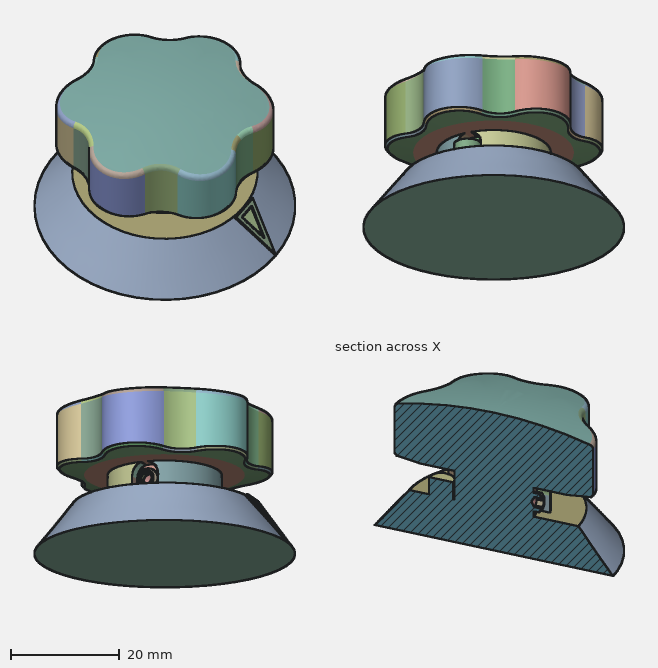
import cadquery as cq
import math

OVERSHOOT = 0.5

BASE_RADIUS = 24.0
BASE_TOP_RADIUS = 17.03
BASE_HEIGHT = 8.95

NECK_RADIUS = 10.5
CORE_RADIUS = 8.0
WINDOW_WIDTH = 5.1
WINDOW_ARCH_Z = 12.45

KNOB_BOTTOM_Z = 14.9
KNOB_TOP_Z = 29.0
KNOB_RADIUS = 20.0
LOBE_COUNT = 6
LOBE_RADIUS = 7.0
HOLLOW_RADIUS = 6.0
DOME_RADIUS = 77.7
FLAT_BOTTOM_RADIUS = 14.75
RIM_BOTTOM_Z = 15.6
TOP_FILLET = 1.0
BOTTOM_CHAMFER = 0.5

STOP_PIN_DIAMETER = 5.0
STOP_PIN_Y = 10.6
STOP_PIN_TOP_Z = 12.55

SCREW_Z = 12.0
SCREW_DIAMETER = 4.0
SCREW_TIP_DIAMETER = 2.9
SCREW_FACE_Y = -9.6
SOCKET_FLATS = 2.0
SOCKET_DEPTH = 1.45
SOCKET_CONE_DEPTH = 0.58

POINTER_THICKNESS = 0.25
POINTER_BEDDING = 0.35
POINTER_BACK_X = 17.05
POINTER_TIP_X = 23.8
POINTER_HALF_WIDTH = 2.9
POINTER_WINDOW_BACK_X = 17.65
POINTER_WINDOW_TIP_X = 21.4
POINTER_WINDOW_HALF_WIDTH = 1.7


def polar(radius, angle):
    """Point at a radius and an angle in degrees."""
    return (radius * math.cos(math.radians(angle)), radius * math.sin(math.radians(angle)))


def cylinder(radius, bottom, top):
    """Upright cylinder on the knob axis."""
    return cq.Workplane("XY").workplane(offset=bottom).circle(radius).extrude(top - bottom)


def make_base():
    profile = [(0, 0), (BASE_RADIUS, 0), (BASE_TOP_RADIUS, BASE_HEIGHT), (0, BASE_HEIGHT)]
    return cq.Workplane("XZ").polyline(profile).close().revolve(360, (0, 0, 0), (0, 1, 0))


def make_pointer():
    """Triangular frame lying on the plane that touches the cone along its +X side."""
    run = BASE_RADIUS - BASE_TOP_RADIUS
    slant = math.hypot(run, BASE_HEIGHT)
    flank = cq.Plane(
        origin=(BASE_RADIUS, 0, 0),
        xDir=(-run, 0, BASE_HEIGHT),
        normal=(BASE_HEIGHT, 0, run),
    )

    def triangle(back_x, tip_x, half_width, depth):
        back = (BASE_RADIUS - back_x) * slant / run
        tip = (BASE_RADIUS - tip_x) * slant / run
        outline = [(tip, 0), (back, half_width), (back, -half_width)]
        prism = cq.Workplane(flank).workplane(offset=-depth).polyline(outline).close()
        return prism.extrude(depth + POINTER_THICKNESS)

    frame = triangle(POINTER_BACK_X, POINTER_TIP_X, POINTER_HALF_WIDTH, POINTER_BEDDING)
    window = triangle(
        POINTER_WINDOW_BACK_X, POINTER_WINDOW_TIP_X, POINTER_WINDOW_HALF_WIDTH, POINTER_BEDDING
    )
    return frame.cut(window)


def make_neck():
    """Sleeve and core; the window runs straight through the sleeve along Y."""
    half_width = WINDOW_WIDTH / 2
    window = (
        cq.Workplane("XZ")
        .moveTo(-half_width, BASE_HEIGHT)
        .lineTo(half_width, BASE_HEIGHT)
        .lineTo(half_width, WINDOW_ARCH_Z)
        .threePointArc((0, WINDOW_ARCH_Z + half_width), (-half_width, WINDOW_ARCH_Z))
        .close()
        .extrude(NECK_RADIUS + OVERSHOOT, both=True)
    )
    sleeve = cylinder(NECK_RADIUS, BASE_HEIGHT, KNOB_BOTTOM_Z)
    core = cylinder(CORE_RADIUS, BASE_HEIGHT, KNOB_BOTTOM_Z)
    return sleeve.cut(window).union(core)


def make_stop_pin():
    """Upright pin standing on the base in the rear window."""
    pin = cylinder(STOP_PIN_DIAMETER / 2, BASE_HEIGHT, STOP_PIN_TOP_Z)
    return pin.translate((0, STOP_PIN_Y, 0))


def make_screw():
    """Set screw along Y with a chamfered outer end."""
    chamfer = (SCREW_DIAMETER - SCREW_TIP_DIAMETER) / 2
    return (
        cq.Workplane("XZ", origin=(0, SCREW_FACE_Y, SCREW_Z))
        .circle(SCREW_DIAMETER / 2)
        .extrude(SCREW_FACE_Y)
        .faces("<Y")
        .chamfer(chamfer)
    )


def make_socket():
    """Hexagon socket with a conical bottom."""
    corners = SOCKET_FLATS / math.cos(math.radians(30))
    hexagon = (
        cq.Workplane("XZ", origin=(0, SCREW_FACE_Y, SCREW_Z))
        .polygon(6, corners)
        .extrude(-SOCKET_DEPTH)
    )
    cone = cq.Solid.makeCone(
        SOCKET_FLATS / 2,
        0,
        SOCKET_CONE_DEPTH,
        pnt=cq.Vector(0, SCREW_FACE_Y + SOCKET_DEPTH, SCREW_Z),
        dir=cq.Vector(0, 1, 0),
    )
    return hexagon.union(cq.Workplane(cone))


def knob_outline():
    """Closed wire of outward lobes joined by tangent hollows; one lobe points to +Y."""
    pitch = 360 / LOBE_COUNT
    half_pitch = math.radians(pitch / 2)
    lobe_centre = KNOB_RADIUS - LOBE_RADIUS
    reach = LOBE_RADIUS + HOLLOW_RADIUS

    offset = lobe_centre * math.sin(half_pitch)
    hollow_centre = lobe_centre * math.cos(half_pitch) + math.sqrt(reach**2 - offset**2)
    valley_radius = hollow_centre - HOLLOW_RADIUS

    share = LOBE_RADIUS / reach
    side = share * hollow_centre * math.sin(half_pitch)
    along = lobe_centre + share * (hollow_centre * math.cos(half_pitch) - lobe_centre)
    tangent_radius = math.hypot(along, side)
    tangent_angle = math.degrees(math.atan2(side, along))

    outline = cq.Workplane("XY").moveTo(*polar(tangent_radius, 90 - tangent_angle))
    for i in range(LOBE_COUNT):
        axis = 90 + i * pitch
        lobe_end = polar(tangent_radius, axis + tangent_angle)
        next_lobe_start = polar(tangent_radius, axis + pitch - tangent_angle)
        outline = outline.threePointArc(polar(KNOB_RADIUS, axis), lobe_end)
        outline = outline.threePointArc(polar(valley_radius, axis + pitch / 2), next_lobe_start)
    return outline.close()


def make_knob():
    """Lobed prism trimmed by a domed top and a shallow conical underside."""
    slope = (RIM_BOTTOM_Z - KNOB_BOTTOM_Z) / (KNOB_RADIUS - FLAT_BOTTOM_RADIUS)
    trim_radius = KNOB_RADIUS + OVERSHOOT
    trim_bottom_z = KNOB_BOTTOM_Z + slope * (trim_radius - FLAT_BOTTOM_RADIUS)

    def dome_z(radius):
        return KNOB_TOP_Z - DOME_RADIUS + math.sqrt(DOME_RADIUS**2 - radius**2)

    half_radius = trim_radius / 2
    envelope = (
        cq.Workplane("XZ")
        .moveTo(0, KNOB_BOTTOM_Z)
        .lineTo(FLAT_BOTTOM_RADIUS, KNOB_BOTTOM_Z)
        .lineTo(trim_radius, trim_bottom_z)
        .lineTo(trim_radius, dome_z(trim_radius))
        .threePointArc((half_radius, dome_z(half_radius)), (0, KNOB_TOP_Z))
        .close()
        .revolve(360, (0, 0, 0), (0, 1, 0))
    )
    knob = knob_outline().extrude(KNOB_TOP_Z + OVERSHOOT).intersect(envelope)
    knob = knob.faces("%SPHERE").edges("not %CIRCLE").fillet(TOP_FILLET)
    return knob.faces("%CONE").edges("not %CIRCLE").chamfer(BOTTOM_CHAMFER)


result = (
    make_base()
    .union(make_pointer())
    .union(make_neck())
    .union(make_stop_pin())
    .union(make_screw())
    .union(make_knob())
    .cut(make_socket())
)